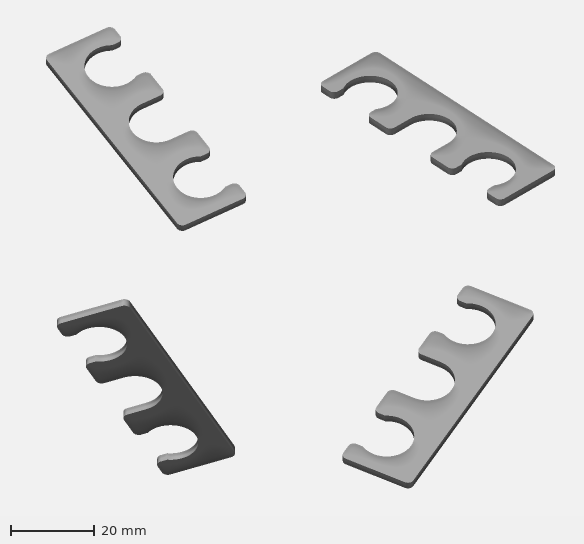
import cadquery as cq

LENGTH = 63.5
WIDTH = 19.05
THICKNESS = 2.0
CORNER_RADIUS = 1.5

SEAT_DIAMETER = 13.25
SEAT_PITCH = 20.64
SEAT_DEPTH = SEAT_DIAMETER
SNAP_MOUTH_WIDTH = 11.3
OPEN_MOUTH_WIDTH = SEAT_DIAMETER

EDGE_Y = WIDTH / 2
SEAT_Y = EDGE_Y - SEAT_DEPTH + SEAT_DIAMETER / 2

SEATS = [
    (-SEAT_PITCH, SNAP_MOUTH_WIDTH),
    (0, OPEN_MOUTH_WIDTH),
    (SEAT_PITCH, SNAP_MOUTH_WIDTH),
]


def make_plate():
    plate = cq.Workplane("XY").rect(LENGTH, WIDTH).extrude(THICKNESS)
    return plate.edges("|Z").edges("<Y").fillet(CORNER_RADIUS)


def make_seat(center_x, mouth_width):
    """Round seat joined to a straight mouth that reaches the +Y edge."""
    bore = cq.Workplane("XY").center(center_x, SEAT_Y).circle(SEAT_DIAMETER / 2).extrude(THICKNESS)
    mouth_length = EDGE_Y - SEAT_Y
    mouth = (
        cq.Workplane("XY")
        .center(center_x, SEAT_Y + mouth_length / 2)
        .rect(mouth_width, mouth_length)
        .extrude(THICKNESS)
    )
    return bore.union(mouth)


def round_finger_tips(body):
    """Round every upright edge along the +Y side: plate corners and mouth lips."""
    return body.faces(">Y").edges("|Z").fillet(CORNER_RADIUS)


result = make_plate()
for seat_x, seat_mouth in SEATS:
    result = result.cut(make_seat(seat_x, seat_mouth))
result = round_finger_tips(result)